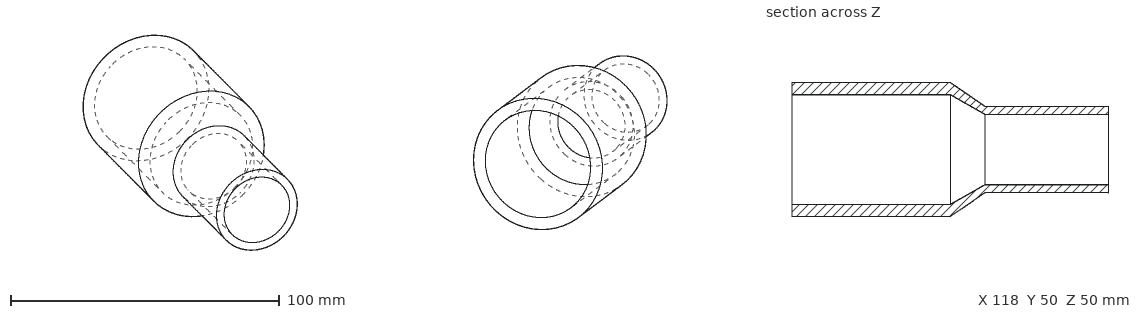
import cadquery as cq

total_length = 118.0
wide_length = 59.0
narrow_length = 46.0
wide_outer_diameter = 50.0
wide_bore_diameter = 40.8
narrow_outer_diameter = 32.2
narrow_bore_diameter = 26.1

cone_end = total_length - narrow_length


def stepped_body(wide_diameter, narrow_diameter):
    """Solid of revolution: wide cylinder, cone, narrow cylinder."""
    wide_radius = wide_diameter / 2
    narrow_radius = narrow_diameter / 2
    return (
        cq.Workplane("XY")
        .moveTo(0, 0)
        .lineTo(0, wide_radius)
        .lineTo(wide_length, wide_radius)
        .lineTo(cone_end, narrow_radius)
        .lineTo(total_length, narrow_radius)
        .lineTo(total_length, 0)
        .close()
        .revolve(360, (0, 0, 0), (1, 0, 0))
    )


outside = stepped_body(wide_outer_diameter, narrow_outer_diameter)
bore = stepped_body(wide_bore_diameter, narrow_bore_diameter)
result = outside.cut(bore)